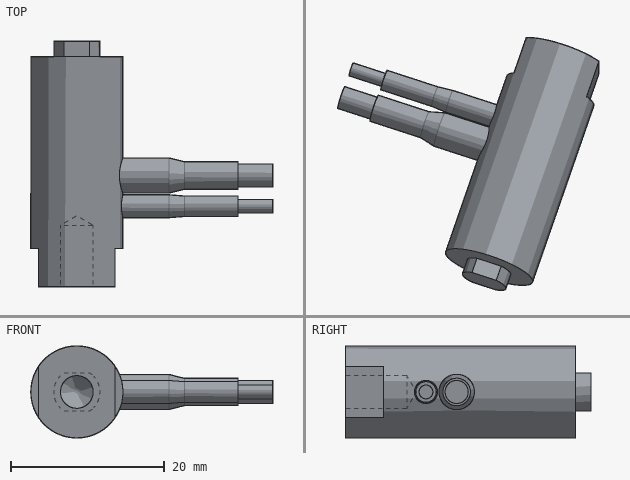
import cadquery as cq
import math

body_diameter = 12.0
total_length = 32.0
stub_length = 2.0
body_length = total_length - stub_length

flat_spacing = 10.0
flat_length = 5.0

hole_diameter = 4.25
hole_depth = 8.0
drill_point_angle = 118.0

stub_diameter = body_diameter / 2
stub_thickness = 5.0

sleeve_end = 12.0
taper_end = 14.0
jacket_end = 21.0
core_end = 25.5

cables = [
    (14.5, 4.6, 3.6, 3.0),
    (10.5, 3.0, 2.7, 1.8),
]


def cylinder_along_y(diameter, start, end):
    plane = cq.Workplane("XZ", origin=(0, start, 0))
    return plane.circle(diameter / 2).extrude(start - end)


def make_body():
    body = cylinder_along_y(body_diameter, 0, body_length)
    slab_width = body_diameter
    slab_center = (flat_spacing + slab_width) / 2
    for side in (-1, 1):
        slab = cq.Workplane("XY").box(slab_width, flat_length, body_diameter)
        body = body.cut(slab.translate((side * slab_center, flat_length / 2, 0)))
    return body


def make_stub():
    stub = cylinder_along_y(stub_diameter, body_length, total_length)
    limits = cq.Workplane("XY").box(stub_diameter, 2 * total_length, stub_thickness)
    return stub.intersect(limits)


def make_cable(y, sleeve_diameter, jacket_diameter, core_diameter):
    """Stepped cable from the body axis towards +X, revolved about its own axis."""
    profile = [
        (0, 0),
        (0, sleeve_diameter / 2),
        (sleeve_end, sleeve_diameter / 2),
        (taper_end, jacket_diameter / 2),
        (jacket_end, jacket_diameter / 2),
        (jacket_end, core_diameter / 2),
        (core_end, core_diameter / 2),
        (core_end, 0),
    ]
    cable = cq.Workplane("XY").polyline(profile).close().revolve(360, (0, 0), (1, 0))
    return cable.translate((0, y, 0))


def make_hole():
    radius = hole_diameter / 2
    point_length = radius / math.tan(math.radians(drill_point_angle / 2))
    profile = [(0, 0), (radius, 0), (radius, hole_depth), (0, hole_depth + point_length)]
    return cq.Workplane("XY").polyline(profile).close().revolve(360, (0, 0), (0, 1))


result = make_body().union(make_stub())
for cable in cables:
    result = result.union(make_cable(*cable))
result = result.cut(make_hole())